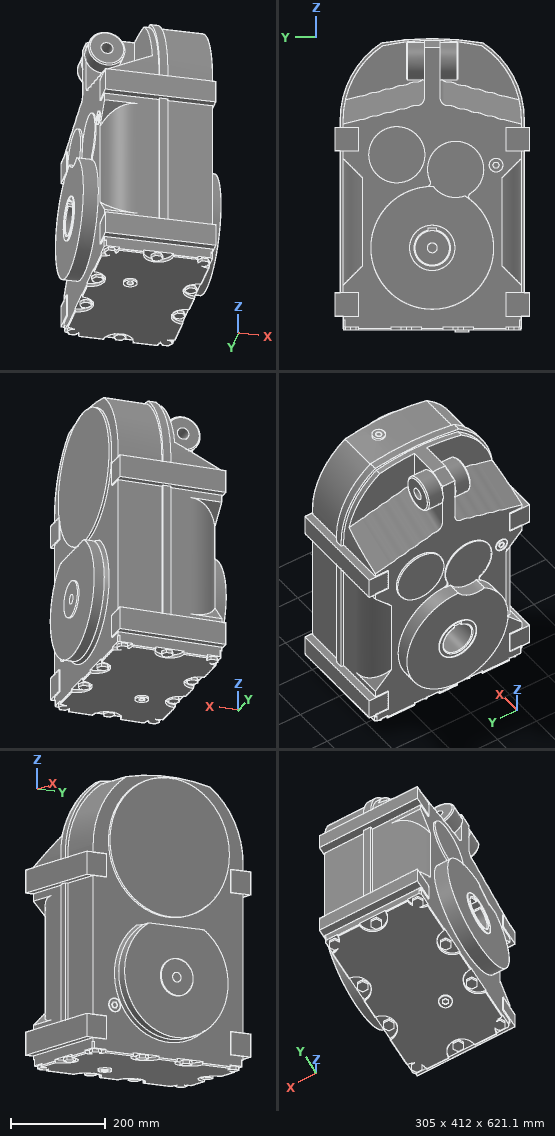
import cadquery as cq
import math


body_depth = 235.0
body_half_width = 188.5
body_bottom = -170.5
arch_center_z = 271.0
body_corner_y = 105.0
body_top = 439.0

band_start = 118.0
band_width = 18.0
band_half_width = 195.0
band_corner_y = 107.5
band_top = 443.0

foot_size = 50.0
foot_length = 240.0
foot_start = -2.5
foot_outer_y = 206.0
foot_top_levels = (255.0, -95.0)

recess_depth = 105.0
recess_rise = 50.0
recess_edge_z = 262.0
recess_flat_z = 271.5
recess_first_step_y = 150.8
step_radius = 30.0
step_half_pitch = 14.45
step_count = 4
web_half_width = 16.0
web_fillet_width = 15.0
web_fillet_height = 20.0
cut_margin = 20.0

eye_x = 36.5
eye_z = 395.0
eye_radius = 39.5
eye_half_length = 55.0
eye_chamfer = 3.0
eye_hole_radius = 13.0
web_nose_drop = 15.0

hollow_depth_x = 70.0
hollow_radius = 80.0
hollow_top = 189.0
hollow_bottom = -79.0

upper_cover = (75.0, 197.0)
lower_cover = (-49.5, 166.0)
cover_radius = 59.5
upper_cover_height = 4.5
lower_cover_height = 2.5
boss_radius = 130.0
boss_height = 32.5
cover_fillet = 8.0

input_cover_z = 285.0
input_cover_radius = 150.0
input_cover_height = 6.0
rear_boss_end = 267.0
rear_boss_chord_z = 110.0
rear_base_end = 244.0
rear_base_radius = 135.0

shaft_front = -34.5
shaft_length = 305.0
shaft_radius = 48.0
bore_radius = 36.5
key_half_width = 9.5
key_top = 42.0
key_end = body_depth
cap_radius = 40.0
cap_hole_radius = 10.5
cap_hole_depth = 2.0
bore_chamfer = 2.0

plug_radius = 14.5
plug_socket = 14.0
plug_height = 2.0
front_plug = (-135.0, 175.0)
rear_plug = (-135.0, -69.0)
top_plug = (196.0, 45.0)
bottom_plug = (85.0, -63.0)
bottom_plug_end = -178.08
top_plug_end = 440.5

cover_bottom = -174.0
cover_inset = 1.0
corner_chamfer = 4.0
corner_chamfer_top = -153.0
notch_radius = 32.0
notch_top = -167.0
bolt_diameter = 26.0
bolt_inset = 16.0
bolt_rows_y = (-55.0, 55.0)


def x_cylinder(radius, x_start, x_end, y=0.0, z=0.0):
    """Cylinder along X between two stations."""
    return cq.Workplane("YZ", origin=(x_start, 0, 0)).center(y, z).circle(radius).extrude(x_end - x_start)


def box(x_range, y_range, z_range):
    """Block between two limits on each axis."""
    lows, highs = zip(x_range, y_range, z_range)
    sizes = [high - low for low, high in zip(lows, highs)]
    return cq.Workplane("XY").box(*sizes, centered=False).translate(lows)


def arched_block(x_start, depth, half_width, corner_y, top, bottom):
    """Straight sided block closed by two shoulder arcs and a shallow top arc."""
    corner_z = arch_center_z + math.sqrt(half_width**2 - corner_y**2)
    shoulder_angle = math.acos(corner_y / half_width) / 2
    mid_y = half_width * math.cos(shoulder_angle)
    mid_z = arch_center_z + half_width * math.sin(shoulder_angle)
    return (
        cq.Workplane("YZ", origin=(x_start, 0, 0))
        .moveTo(-half_width, bottom)
        .lineTo(half_width, bottom)
        .lineTo(half_width, arch_center_z)
        .threePointArc((mid_y, mid_z), (corner_y, corner_z))
        .threePointArc((0, top), (-corner_y, corner_z))
        .threePointArc((-mid_y, mid_z), (-half_width, arch_center_z))
        .close()
        .extrude(depth)
    )


def housing():
    body = arched_block(0, body_depth, body_half_width, body_corner_y, body_top, body_bottom)
    band_bottom = foot_top_levels[1] - foot_size / 2
    band = arched_block(band_start, band_width, band_half_width, band_corner_y, band_top, band_bottom)
    return body.union(band)


def stepped_recess():
    """Cutter on the +Y side: a staircase of arcs swept up the slope, ending at the web fillet."""
    step_drop = step_radius - math.sqrt(step_radius**2 - step_half_pitch**2)
    edge_slope = (recess_flat_z - recess_edge_z) / (body_half_width - recess_first_step_y)
    outer_y = body_half_width + cut_margin
    roof_z = band_top + cut_margin
    y = recess_first_step_y
    z = recess_flat_z
    profile = (
        cq.Workplane("YZ")
        .moveTo(outer_y, recess_edge_z - edge_slope * cut_margin)
        .lineTo(y, z)
    )
    for _ in range(step_count):
        profile = profile.radiusArc((y - step_half_pitch, z + step_drop), step_radius)
        y -= 2 * step_half_pitch
        z += 2 * step_drop
        profile = profile.radiusArc((y, z), -step_radius)
    wire = (
        profile.lineTo(web_half_width + web_fillet_width, z)
        .ellipseArc(web_fillet_width, web_fillet_height, 180, 270, sense=-1)
        .lineTo(web_half_width, roof_z)
        .lineTo(outer_y, roof_z)
        .close()
        .val()
    )
    slope = cq.Vector(recess_depth, 0, recess_rise)
    return cq.Workplane(cq.Solid.extrudeLinear(wire, [], slope))


def web_nose():
    """Cutter sloping the front top edge of the web."""
    return (
        cq.Workplane("XZ")
        .moveTo(0, body_top - web_nose_drop)
        .lineTo(eye_x, body_top)
        .lineTo(eye_x, body_top + cut_margin)
        .lineTo(-cut_margin, body_top + cut_margin)
        .lineTo(-cut_margin, body_top - web_nose_drop)
        .close()
        .extrude(web_half_width, both=True)
    )


def eye():
    """Eye cylinders on both sides of the web."""
    bar = (
        cq.Workplane("XZ")
        .center(eye_x, eye_z)
        .circle(eye_radius)
        .extrude(eye_half_length, both=True)
        .edges()
        .chamfer(eye_chamfer)
    )
    span = eye_radius + eye_x
    web_zone = box((-span, span), (-web_half_width, web_half_width), (arch_center_z, band_top))
    return bar.cut(web_zone)


def eye_hole():
    return cq.Workplane("XZ").center(eye_x, eye_z).circle(eye_hole_radius).extrude(eye_half_length, both=True)


def side_hollow():
    """Cutter rounding the +Y front edge, with ends sloping at 45 degrees."""
    arc_center_y = body_half_width - hollow_radius
    front_y = arc_center_y + math.sqrt(hollow_radius**2 - hollow_depth_x**2)
    mid_angle = math.asin(hollow_depth_x / hollow_radius) / 2
    mid_x = hollow_depth_x - hollow_radius * math.sin(mid_angle)
    mid_y = arc_center_y + hollow_radius * math.cos(mid_angle)
    rounding = (
        cq.Workplane("XY", origin=(0, 0, hollow_bottom))
        .moveTo(0, front_y)
        .threePointArc((mid_x, mid_y), (hollow_depth_x, body_half_width))
        .lineTo(0, body_half_width)
        .close()
        .extrude(hollow_top - hollow_bottom)
    )
    reach = body_half_width - front_y
    sloped_ends = (
        cq.Workplane("YZ")
        .moveTo(body_half_width, hollow_bottom)
        .lineTo(body_half_width, hollow_top)
        .lineTo(front_y, hollow_top - reach)
        .lineTo(front_y, hollow_bottom + reach)
        .close()
        .extrude(hollow_depth_x)
    )
    return rounding.intersect(sloped_ends)


def feet():
    bars = cq.Workplane("XY")
    x_range = (foot_start, foot_start + foot_length)
    for top in foot_top_levels:
        for inner_y in (-foot_outer_y, foot_outer_y - foot_size):
            bars = bars.union(box(x_range, (inner_y, inner_y + foot_size), (top - foot_size, top)))
    return bars


def front_boss():
    """Output boss with a bite that follows the lower cover."""
    boss = x_cylinder(boss_radius, -boss_height, 0)
    return boss.cut(x_cylinder(cover_radius, -boss_height, -lower_cover_height, *lower_cover))


def lower_cover_pad():
    """Lower cover blended into the foot of the output boss by two small fillets."""
    pad = x_cylinder(cover_radius, -lower_cover_height, 0, *lower_cover)
    pad = pad.union(x_cylinder(boss_radius, -lower_cover_height, 0))
    near_cover = cq.selectors.BoxSelector(
        (-boss_height, lower_cover[0] - cover_radius, 0),
        (boss_height, lower_cover[0] + cover_radius, boss_radius),
    )
    return pad.edges("|X").edges(near_cover).fillet(cover_fillet)


def rear_boss():
    """Rear output boss with a conical base, both cut flat on top."""
    boss = x_cylinder(boss_radius, body_depth, rear_boss_end)
    base = (
        cq.Workplane("XY")
        .moveTo(body_depth, 0)
        .lineTo(body_depth, rear_base_radius)
        .lineTo(rear_base_end, boss_radius)
        .lineTo(rear_base_end, 0)
        .close()
        .revolve(360, (0, 0, 0), (1, 0, 0))
    )
    span = (-rear_base_radius, rear_base_radius)
    keep = box((body_depth, rear_boss_end), span, (-rear_base_radius, rear_boss_chord_z))
    return boss.union(base).intersect(keep)


def shaft_ends():
    front = x_cylinder(shaft_radius, shaft_front, 0)
    return front.union(x_cylinder(cap_radius, body_depth, shaft_front + shaft_length))


def shaft_bore():
    """Keyed bore with a chamfered mouth and a small blind hole in the rear cap."""
    bore = x_cylinder(bore_radius, shaft_front, rear_boss_end)
    mouth = (
        cq.Workplane("YZ", origin=(shaft_front, 0, 0))
        .circle(bore_radius + bore_chamfer)
        .workplane(offset=bore_chamfer)
        .circle(bore_radius)
        .loft()
    )
    keyway = box((shaft_front, key_end), (-key_half_width, key_half_width), (0, key_top))
    cap_hole = x_cylinder(cap_hole_radius, rear_boss_end, rear_boss_end + cap_hole_depth)
    return bore.union(mouth).union(keyway).union(cap_hole)


def plug(base, normal, height):
    """Round screw plug with a hexagon socket, standing on the base point."""
    plane = cq.Plane(origin=base, normal=normal)
    head = cq.Workplane(plane).circle(plug_radius).extrude(height)
    outer_face = head.faces(cq.selectors.DirectionMinMaxSelector(cq.Vector(normal)))
    return outer_face.workplane().polygon(6, plug_socket).cutBlind(-plug_height)


def bolt_places():
    """Bolt positions on the bottom with the matching notch centre on the housing edge."""
    for side in (-1, 1):
        edge_y = side * body_half_width
        bolt_y = side * (body_half_width - bolt_inset)
        yield (bolt_inset, bolt_y), (0, edge_y)
        yield (body_depth / 2, bolt_y), (body_depth / 2, edge_y)
        yield (body_depth - bolt_inset, bolt_y), (body_depth, edge_y)
    for y in bolt_rows_y:
        yield (bolt_inset, y), (0, y)
        yield (body_depth - bolt_inset, y), (body_depth, y)


def add_bottom_cover(part):
    """Cover plate with a notch and a hexagon bolt head at each fixing point."""
    span = body_half_width - cover_inset
    plate = box((cover_inset, body_depth - cover_inset), (-span, span), (cover_bottom, body_bottom))
    part = part.union(plate)
    corner_band = (
        cq.Workplane("XY", origin=(body_depth / 2, 0, cover_bottom))
        .rect(body_depth, 2 * body_half_width)
        .extrude(corner_chamfer_top - cover_bottom)
    )
    part = part.cut(corner_band.cut(corner_band.edges("|Z").chamfer(corner_chamfer)))
    for bolt, notch in bolt_places():
        base = cq.Workplane("XY", origin=(0, 0, cover_bottom))
        height = notch_top - cover_bottom
        part = part.cut(base.center(*notch).circle(notch_radius).extrude(height))
        part = part.union(base.center(*bolt).polygon(6, bolt_diameter).extrude(height))
    return part


def mirrored_pair(cutter):
    return cutter.union(cutter.mirror("XZ"))


result = housing()
result = result.cut(mirrored_pair(stepped_recess()))
result = result.cut(web_nose())
result = result.union(eye()).cut(eye_hole())
result = result.cut(mirrored_pair(side_hollow()))
result = result.union(feet())
result = result.union(x_cylinder(cover_radius, -upper_cover_height, 0, *upper_cover))
result = result.union(lower_cover_pad()).union(front_boss())
result = result.union(x_cylinder(
    input_cover_radius, body_depth, body_depth + input_cover_height, 0, input_cover_z))
result = result.union(rear_boss())
result = result.union(shaft_ends()).cut(shaft_bore())
result = add_bottom_cover(result)
result = result.union(plug((0, *front_plug), (-1, 0, 0), plug_height))
result = result.union(plug((body_depth, *rear_plug), (1, 0, 0), plug_height))
top_base = body_top - 2 * plug_height
result = result.union(plug((*top_plug, top_base), (0, 0, 1), top_plug_end - top_base))
result = result.union(plug((*bottom_plug, cover_bottom), (0, 0, -1), cover_bottom - bottom_plug_end))